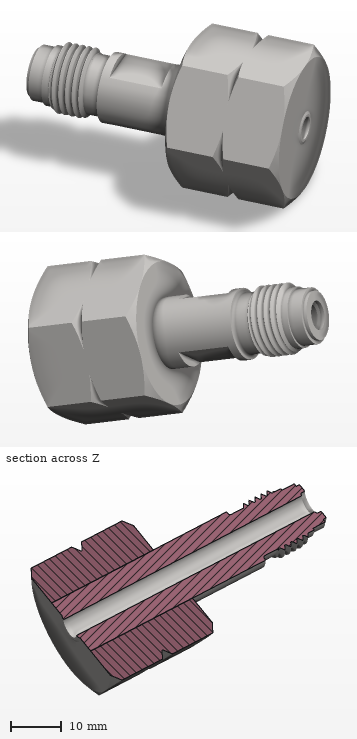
import cadquery as cq
import math

TOTAL_LENGTH = 57.15

HEX_SIDES = 6
HEX_ACROSS_FLATS = 28.6
NUT_LENGTH = 24.0
NUT_END_X = 56.9
NUT_START_X = NUT_END_X - NUT_LENGTH
NUT_MIDDLE_X = NUT_START_X + NUT_LENGTH / 2
HEX_FLAT_RADIUS = HEX_ACROSS_FLATS / 2
HEX_CORNER_RADIUS = HEX_FLAT_RADIUS / math.cos(math.pi / HEX_SIDES)
CHAMFER_SLOPE = math.tan(math.radians(30))
NOTCH_BOTTOM_RADIUS = 14.5

SHANK_RADIUS = 7.15
SHANK_START_X = 15.7
WRENCH_FLAT_START_X = 17.5
WRENCH_FLAT_LENGTH = 11.0
WRENCH_FLAT_HALF_THICKNESS = 5.45

TIP_RADIUS = 4.9
TIP_LENGTH = 0.75
PILOT_RADIUS = 5.65
PILOT_END_X = 3.65
CORE_RADIUS = 6.1
RELIEF_FILLET = 0.5

THREAD_CREST_SPAN = 5.65
THREAD_PITCHES_IN_SPAN = 4
THREAD_PITCH = THREAD_CREST_SPAN / THREAD_PITCHES_IN_SPAN
THREAD_START_X = 5.05
THREAD_END_X = 12.5
THREAD_RUNOUT = 0.8
THREAD_CONE_MARGIN = 0.05
THREAD_CREST_FLAT = 0.1
THREAD_ROOT_FLAT = 0.1
THREAD_EMBED = 0.1
THREAD_CREST_X = 5.9

NOSE_BASE_RADIUS = 3.4
NOSE_END_RADIUS = 2.8
BORE_RADIUS = 2.3
BORE_MOUTH_RADIUS = 2.9
BORE_MOUTH_DEPTH = 0.85
BORE_MOUTH_CONE_SLOPE = math.tan(math.radians(30))
BORE_MOUTH_CONE_LENGTH = (BORE_MOUTH_RADIUS - BORE_RADIUS) * BORE_MOUTH_CONE_SLOPE


def revolve_about_x(profile):
    """Close an outline in the XY plane and turn it fully around the X axis."""
    return profile.close().revolve(360, (0, 0, 0), (1, 0, 0))


def make_stem_blank():
    """Turned outline of the stem, from tip to nose, with its bore."""
    profile = (
        cq.Workplane("XY")
        .moveTo(BORE_MOUTH_DEPTH + BORE_MOUTH_CONE_LENGTH, BORE_RADIUS)
        .lineTo(BORE_MOUTH_DEPTH, BORE_MOUTH_RADIUS)
        .lineTo(0, BORE_MOUTH_RADIUS)
        .lineTo(0, TIP_RADIUS)
        .lineTo(TIP_LENGTH, TIP_RADIUS)
        .lineTo(TIP_LENGTH, PILOT_RADIUS)
        .lineTo(PILOT_END_X, PILOT_RADIUS)
        .lineTo(PILOT_END_X, CORE_RADIUS)
        .lineTo(SHANK_START_X - RELIEF_FILLET, CORE_RADIUS)
        .radiusArc((SHANK_START_X, CORE_RADIUS + RELIEF_FILLET), -RELIEF_FILLET)
        .lineTo(SHANK_START_X, SHANK_RADIUS)
        .lineTo(NUT_END_X, SHANK_RADIUS)
        .lineTo(NUT_END_X, NOSE_BASE_RADIUS)
        .lineTo(TOTAL_LENGTH, NOSE_END_RADIUS)
        .lineTo(TOTAL_LENGTH, BORE_RADIUS)
    )
    return revolve_about_x(profile)


def make_thread_ridge():
    """Helical ridge along X, faded out by a cone at each end."""
    extra_turns = 2
    turns = math.ceil((THREAD_END_X - THREAD_START_X) / THREAD_PITCH) + extra_turns
    first_crest_x = THREAD_CREST_X - extra_turns * THREAD_PITCH
    root_radius = CORE_RADIUS - THREAD_EMBED
    root_half_width = (THREAD_PITCH - THREAD_ROOT_FLAT) / 2
    crest_half_width = THREAD_CREST_FLAT / 2

    helix = cq.Wire.makeHelix(THREAD_PITCH, turns * THREAD_PITCH, CORE_RADIUS)
    ridge = (
        cq.Workplane("XZ")
        .moveTo(root_radius, -root_half_width)
        .lineTo(SHANK_RADIUS, -crest_half_width)
        .lineTo(SHANK_RADIUS, crest_half_width)
        .lineTo(root_radius, root_half_width)
        .close()
        .sweep(cq.Workplane(helix), isFrenet=True)
        .rotate((0, 0, 0), (0, 0, 1), 180)
        .rotate((0, 0, 0), (0, 1, 0), 90)
        .translate((first_crest_x, 0, 0))
    )
    inner_radius = CORE_RADIUS - THREAD_CONE_MARGIN
    outer_radius = SHANK_RADIUS + THREAD_CONE_MARGIN
    envelope = revolve_about_x(
        cq.Workplane("XY")
        .moveTo(THREAD_START_X, 0)
        .lineTo(THREAD_START_X, inner_radius)
        .lineTo(THREAD_START_X + THREAD_RUNOUT, outer_radius)
        .lineTo(THREAD_END_X - THREAD_RUNOUT, outer_radius)
        .lineTo(THREAD_END_X, inner_radius)
        .lineTo(THREAD_END_X, 0)
    )
    return ridge.intersect(envelope)


def make_wrench_flat_cut(side):
    """Block that cuts one wrench flat; side is +1 for top, -1 for bottom."""
    depth = SHANK_RADIUS - WRENCH_FLAT_HALF_THICKNESS
    return cq.Workplane("XY").box(WRENCH_FLAT_LENGTH, 2 * SHANK_RADIUS, depth).translate((
        WRENCH_FLAT_START_X + WRENCH_FLAT_LENGTH / 2,
        0,
        side * (WRENCH_FLAT_HALF_THICKNESS + depth / 2),
    ))


def make_stem():
    stem = make_stem_blank().union(make_thread_ridge())
    for side in (1, -1):
        stem = stem.cut(make_wrench_flat_cut(side))
    return stem


def make_nut():
    """Hexagonal nut with chamfered ends and a V notch around its middle."""
    hexagon = (
        cq.Workplane("YZ")
        .workplane(offset=NUT_START_X)
        .polygon(HEX_SIDES, 2 * HEX_CORNER_RADIUS)
        .circle(SHANK_RADIUS)
        .extrude(NUT_LENGTH)
    )
    chamfer_run = (HEX_CORNER_RADIUS - HEX_FLAT_RADIUS) * CHAMFER_SLOPE
    notch_run = (HEX_CORNER_RADIUS - NOTCH_BOTTOM_RADIUS) * CHAMFER_SLOPE
    envelope = revolve_about_x(
        cq.Workplane("XY")
        .moveTo(NUT_START_X, 0)
        .lineTo(NUT_START_X, HEX_FLAT_RADIUS)
        .lineTo(NUT_START_X + chamfer_run, HEX_CORNER_RADIUS)
        .lineTo(NUT_MIDDLE_X - notch_run, HEX_CORNER_RADIUS)
        .lineTo(NUT_MIDDLE_X, NOTCH_BOTTOM_RADIUS)
        .lineTo(NUT_MIDDLE_X + notch_run, HEX_CORNER_RADIUS)
        .lineTo(NUT_END_X - chamfer_run, HEX_CORNER_RADIUS)
        .lineTo(NUT_END_X, HEX_FLAT_RADIUS)
        .lineTo(NUT_END_X, 0)
    )
    return hexagon.intersect(envelope)


stem = make_stem()
nut = make_nut()

result = cq.Compound.makeCompound([stem.solids().val(), nut.solids().val()])